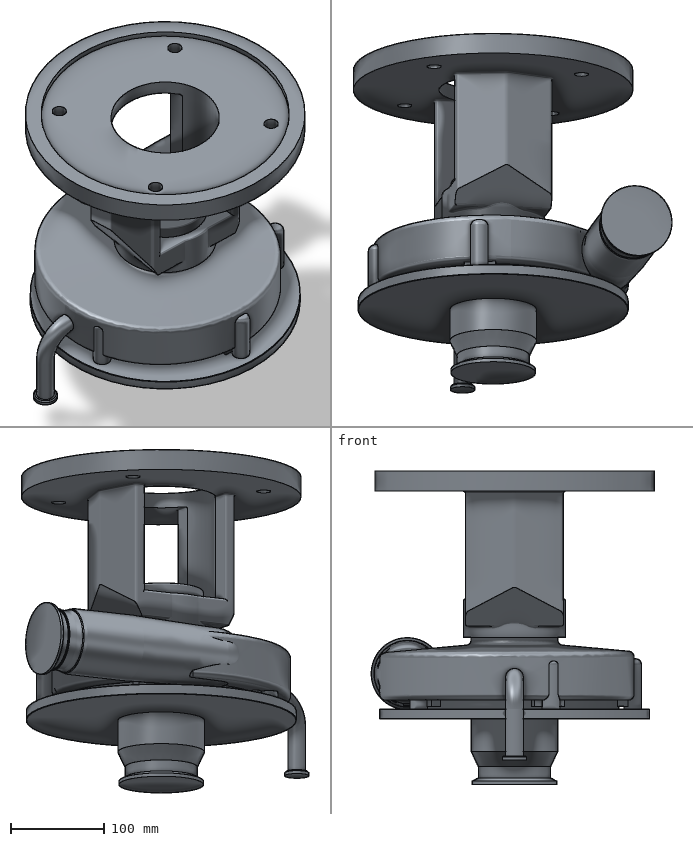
import cadquery as cq
import math


TOP_Z = 266.3

MOTOR_PLATE_RADIUS = 150.0
MOTOR_PLATE_THICKNESS = 21.8
SPIGOT_RADIUS = 133.0
SPIGOT_DEPTH = 6.0
MOTOR_BOLT_DIAMETER = 15.0
MOTOR_BOLT_PITCH = 161.3
YOKE_BORE_RADIUS = 58.0

YOKE_HALF_WIDTH = 52.6
YOKE_SHOULDER_Y = 60.9
YOKE_LEG_Y = 75.2
YOKE_RIDGE_Y = 75.5
YOKE_SLOPE_TOP_Z = 141.4
YOKE_SLOPE_RATIO = 0.53
YOKE_BOTTOM_Z = 99.7
YOKE_CORNER_RADIUS = 4.0
YOKE_RIDGE_RADIUS = 8.0
CASTING_FILLET = 3.0
YOKE_BOTTOM_FILLET = 2.6
PLATE_FILLET = 2.5
WINDOW_HALF_WIDTH = 49.5
WINDOW_FLOOR_Z = 129.3

HUB_RADIUS = 55.0
HUB_BOTTOM_Z = 87.6
SHAFT_CAP_RADIUS = 45.3
SHAFT_CAP_TOP_Z = 142.0
SHAFT_CAP_EDGE = 2.5
NECK_RADIUS = 46.7
NECK_FILLET = 5.0

VOLUTE_BOTTOM_Z = 20.3
VOLUTE_EDGE_FILLET = 6.5
SPIRAL_STEP = 8.0
SPIRAL_START_RADIUS = 116.5
SPIRAL_START_ANGLE = 135.0
SPIRAL_END_ANGLE = -195.0
COVER_INNER_Z = 79.9
COVER_SLOPE = 0.0915

BACK_PLATE_RADIUS = 145.0
BACK_PLATE_THICKNESS = 10.7
BACK_PLATE_CHAMFER = 0.5
SPACER_RADIUS = 112.0

STUD_COUNT = 5
STUD_CIRCLE_RADIUS = 127.0
STUD_RADIUS = 9.5
STUD_TOP_Z = 65.0
STUD_TOP_FILLET = 7.0
LUG_OUTER_RADIUS = 122.0
LUG_WIDTH = 34.0
LUG_BOTTOM_Z = 13.7

OUTLET_X = -114.95
OUTLET_Z = 48.7
OUTLET_THROAT_RADIUS = 32.0
OUTLET_TUBE_RADIUS = 35.5
OUTLET_TUBE_START_Y = 106.0
OUTLET_TUBE_END_Y = 180.0
OUTLET_TUBE_BEVEL_LENGTH = 4.0
OUTLET_TUBE_BEVEL_DEPTH = 0.9
OUTLET_NECK_RADIUS = 32.4
OUTLET_BEAD_RADIUS = 33.6
OUTLET_INNER_BEAD_START_Y = 181.0
OUTLET_INNER_BEAD_WIDTH = 2.0
OUTLET_NECK_START_Y = 187.0
OUTLET_OUTER_BEAD_START_Y = 197.0
OUTLET_OUTER_BEAD_WIDTH = 1.5
OUTLET_NECK_END_Y = 204.0
OUTLET_END_Y = 210.7
OUTLET_FLANGE_RADIUS = 38.75
OUTLET_FLANGE_RIM = 3.0
OUTLET_FLANGE_BEVEL_DEPTH = 3.0
OUTLET_FLANGE_BEVEL_LENGTH = 1.0

INLET_RADIUS = 46.5
INLET_TUBE_RADIUS = 38.8
INLET_FLANGE_RADIUS = 45.4
INLET_TAPER_START_Z = -34.7
INLET_TAPER_END_Z = -51.0
INLET_TUBE_END_Z = -63.0
INLET_FLANGE_RIM = 3.7
INLET_BOTTOM_Z = -70.2

DRAIN_RADIUS = 9.5
DRAIN_Y = -167.2
DRAIN_Z = 45.0
DRAIN_BEND_RADIUS = 34.5
DRAIN_EMBEDDED_LENGTH = 20.0
DRAIN_BOTTOM_Z = -44.0
DRAIN_FLANGE_RADIUS = 13.0
DRAIN_FLANGE_THICKNESS = 4.7
DRAIN_FLANGE_CHAMFER = 1.5

SELECT_MARGIN = 0.1

MOTOR_PLATE_BOTTOM_Z = TOP_Z - MOTOR_PLATE_THICKNESS


def disc(radius, bottom_z, top_z):
    """Solid cylinder on the shaft axis."""
    return cq.Workplane("XY").workplane(offset=bottom_z).circle(radius).extrude(top_z - bottom_z)


def edge_box(x_range, y_range, z_range):
    """Selector for edges whose centres lie inside a box."""
    low = (x_range[0] - SELECT_MARGIN, y_range[0] - SELECT_MARGIN, z_range[0] - SELECT_MARGIN)
    high = (x_range[1] + SELECT_MARGIN, y_range[1] + SELECT_MARGIN, z_range[1] + SELECT_MARGIN)
    return cq.selectors.BoxSelector(low, high)


def make_yoke_block():
    """Hexagonal block with rounded corners and undersides that slope in to the hub."""
    outline = [
        (YOKE_HALF_WIDTH, YOKE_SHOULDER_Y),
        (0, YOKE_RIDGE_Y),
        (-YOKE_HALF_WIDTH, YOKE_SHOULDER_Y),
        (-YOKE_HALF_WIDTH, -YOKE_SHOULDER_Y),
        (0, -YOKE_RIDGE_Y),
        (YOKE_HALF_WIDTH, -YOKE_SHOULDER_Y),
    ]
    height = MOTOR_PLATE_BOTTOM_Z - YOKE_BOTTOM_Z
    block = cq.Workplane("XY").workplane(offset=YOKE_BOTTOM_Z).polyline(outline).close().extrude(height)
    block = block.edges("|Z").edges(">Y or <Y").fillet(YOKE_RIDGE_RADIUS)
    block = block.edges("|Z").edges(">X or <X").fillet(YOKE_CORNER_RADIUS)

    foot_y = YOKE_LEG_Y - YOKE_SLOPE_RATIO * (YOKE_SLOPE_TOP_Z - YOKE_BOTTOM_Z)
    ramp_top_z = YOKE_SLOPE_TOP_Z + (YOKE_RIDGE_Y - YOKE_LEG_Y) / YOKE_SLOPE_RATIO
    side = [
        (foot_y, YOKE_BOTTOM_Z),
        (YOKE_RIDGE_Y, ramp_top_z),
        (YOKE_RIDGE_Y, MOTOR_PLATE_BOTTOM_Z),
        (-YOKE_RIDGE_Y, MOTOR_PLATE_BOTTOM_Z),
        (-YOKE_RIDGE_Y, ramp_top_z),
        (-foot_y, YOKE_BOTTOM_Z),
    ]
    envelope = cq.Workplane("YZ").polyline(side).close().extrude(YOKE_HALF_WIDTH, both=True)
    return block.intersect(envelope).faces("<Z").edges().fillet(YOKE_BOTTOM_FILLET)


def make_yoke():
    """Two legs on a round hub, with an open window between them along X."""
    yoke = make_yoke_block().union(disc(HUB_RADIUS, HUB_BOTTOM_Z, WINDOW_FLOOR_Z))
    hub_range = (-HUB_RADIUS, HUB_RADIUS)
    underside = edge_box(hub_range, hub_range, (YOKE_BOTTOM_Z, YOKE_BOTTOM_Z))
    yoke = yoke.edges(underside).edges("%CIRCLE").fillet(CASTING_FILLET)

    window_height = MOTOR_PLATE_BOTTOM_Z - WINDOW_FLOOR_Z
    window = (
        cq.Workplane("XY").workplane(offset=WINDOW_FLOOR_Z)
        .rect(2 * HUB_RADIUS, 2 * WINDOW_HALF_WIDTH).extrude(window_height)
    )
    yoke = yoke.cut(window)
    yoke = yoke.cut(disc(YOKE_BORE_RADIUS, WINDOW_FLOOR_Z, MOTOR_PLATE_BOTTOM_Z))

    window_y = (-WINDOW_HALF_WIDTH, WINDOW_HALF_WIDTH)
    window_z = (WINDOW_FLOOR_Z, MOTOR_PLATE_BOTTOM_Z)
    for x_range in ((-HUB_RADIUS, -YOKE_HALF_WIDTH), (YOKE_HALF_WIDTH, HUB_RADIUS)):
        yoke = yoke.edges(edge_box(x_range, window_y, window_z)).fillet(CASTING_FILLET)
    return yoke


def make_motor_plate():
    """Round plate with a locating recess, a central bore and four bolt holes."""
    plate = disc(MOTOR_PLATE_RADIUS, MOTOR_PLATE_BOTTOM_Z, TOP_Z)
    plate = plate.cut(disc(SPIGOT_RADIUS, TOP_Z - SPIGOT_DEPTH, TOP_Z))
    plate = plate.cut(disc(YOKE_BORE_RADIUS, MOTOR_PLATE_BOTTOM_Z, TOP_Z))
    bolts = (
        cq.Workplane("XY").workplane(offset=MOTOR_PLATE_BOTTOM_Z)
        .rect(MOTOR_BOLT_PITCH, MOTOR_BOLT_PITCH, forConstruction=True)
        .vertices().circle(MOTOR_BOLT_DIAMETER / 2).extrude(MOTOR_PLATE_THICKNESS)
    )
    return plate.cut(bolts)


def make_adapter():
    """Motor plate and yoke joined, with fillets where the legs meet the plate."""
    adapter = make_motor_plate().union(make_yoke())
    leg_x = (-YOKE_HALF_WIDTH, YOKE_HALF_WIDTH)
    joint_z = (MOTOR_PLATE_BOTTOM_Z, MOTOR_PLATE_BOTTOM_Z)
    for y_range in ((-YOKE_RIDGE_Y, -WINDOW_HALF_WIDTH), (WINDOW_HALF_WIDTH, YOKE_RIDGE_Y)):
        adapter = adapter.edges(edge_box(leg_x, y_range, joint_z)).fillet(PLATE_FILLET)
    return adapter


def spiral_point(arc_index, angle):
    """Point on the four-centre spiral; arc 0 is the smallest, each next one a step larger."""
    half = SPIRAL_STEP / 2
    centre_x, centre_y = [(half, half), (half, -half), (-half, -half), (-half, half)][arc_index]
    radius = SPIRAL_START_RADIUS + arc_index * SPIRAL_STEP
    turn = math.radians(angle)
    return (centre_x + radius * math.cos(turn), centre_y + radius * math.sin(turn))


def make_volute():
    """Spiral casing with a shallow conical cover; radius grows clockwise towards the outlet."""
    arc_limits = [SPIRAL_START_ANGLE, 90, 0, -90, SPIRAL_END_ANGLE]
    outline = cq.Workplane("XY").workplane(offset=VOLUTE_BOTTOM_Z)
    outline = outline.moveTo(*spiral_point(0, SPIRAL_START_ANGLE))
    for index, (start, end) in enumerate(zip(arc_limits, arc_limits[1:])):
        outline = outline.threePointArc(spiral_point(index, (start + end) / 2), spiral_point(index, end))
    casing = outline.close().extrude(HUB_BOTTOM_Z - VOLUTE_BOTTOM_Z)
    reach = BACK_PLATE_RADIUS + SPIRAL_STEP
    cover_edge_z = COVER_INNER_Z - COVER_SLOPE * (reach - NECK_RADIUS)
    cover = (
        cq.Workplane("XZ").moveTo(0, 0).lineTo(reach, 0).lineTo(reach, cover_edge_z)
        .lineTo(NECK_RADIUS, COVER_INNER_Z).lineTo(NECK_RADIUS, HUB_BOTTOM_Z).lineTo(0, HUB_BOTTOM_Z)
        .close().revolve(360, (0, 0, 0), (0, 1, 0))
    )
    casing = casing.intersect(cover)
    neck_range = (-NECK_RADIUS, NECK_RADIUS)
    neck_root = edge_box(neck_range, neck_range, (COVER_INNER_Z, COVER_INNER_Z))
    casing = casing.edges(neck_root).fillet(NECK_FILLET)
    casing = casing.faces("<Z").edges().fillet(VOLUTE_EDGE_FILLET)
    reach_range = (-reach, reach)
    rim = edge_box(reach_range, reach_range, (cover_edge_z, COVER_INNER_Z - NECK_FILLET / 2))
    return casing.edges(rim).edges("not |Z").fillet(VOLUTE_EDGE_FILLET)


def make_back_plate():
    """Round back plate with a spacer disc that carries the volute."""
    plate = disc(BACK_PLATE_RADIUS, 0, BACK_PLATE_THICKNESS).edges().chamfer(BACK_PLATE_CHAMFER)
    return plate.union(disc(SPACER_RADIUS, BACK_PLATE_THICKNESS, VOLUTE_BOTTOM_Z))


def make_studs():
    """Clamping studs around the rim, each with a flat lug on the spacer."""
    stud = (
        disc(STUD_RADIUS, BACK_PLATE_THICKNESS, STUD_TOP_Z)
        .faces(">Z").edges().fillet(STUD_TOP_FILLET)
        .translate((STUD_CIRCLE_RADIUS, 0, 0))
    )
    lug_inner_radius = SPACER_RADIUS / 2
    lug = cq.Workplane("XY").box(
        LUG_OUTER_RADIUS - lug_inner_radius,
        LUG_WIDTH,
        VOLUTE_BOTTOM_Z - LUG_BOTTOM_Z,
        centered=(False, True, False),
    )
    station = stud.union(lug.translate((lug_inner_radius, 0, LUG_BOTTOM_Z)))
    studs = station
    for index in range(1, STUD_COUNT):
        studs = studs.union(station.rotate((0, 0, 0), (0, 0, 1), 360 / STUD_COUNT * index))
    return studs


def make_outlet():
    """Tangential outlet along +Y with a clamp flange and a spherical inner end."""
    diagonal = OUTLET_THROAT_RADIUS * math.sqrt(0.5)
    inner_bead_end_y = OUTLET_INNER_BEAD_START_Y + OUTLET_INNER_BEAD_WIDTH
    outer_bead_end_y = OUTLET_OUTER_BEAD_START_Y + OUTLET_OUTER_BEAD_WIDTH
    rim_y = OUTLET_END_Y - OUTLET_FLANGE_RIM
    profile = (
        cq.Workplane("XY").moveTo(0, -OUTLET_THROAT_RADIUS)
        .threePointArc((diagonal, -diagonal), (OUTLET_THROAT_RADIUS, 0))
        .lineTo(OUTLET_TUBE_RADIUS, OUTLET_TUBE_START_Y)
        .lineTo(OUTLET_TUBE_RADIUS, OUTLET_TUBE_END_Y - OUTLET_TUBE_BEVEL_LENGTH)
        .lineTo(OUTLET_TUBE_RADIUS - OUTLET_TUBE_BEVEL_DEPTH, OUTLET_TUBE_END_Y)
        .lineTo(OUTLET_BEAD_RADIUS, OUTLET_INNER_BEAD_START_Y)
        .lineTo(OUTLET_BEAD_RADIUS, inner_bead_end_y)
        .lineTo(OUTLET_NECK_RADIUS, OUTLET_NECK_START_Y)
        .lineTo(OUTLET_NECK_RADIUS, OUTLET_OUTER_BEAD_START_Y)
        .lineTo(OUTLET_BEAD_RADIUS, OUTLET_OUTER_BEAD_START_Y)
        .lineTo(OUTLET_BEAD_RADIUS, outer_bead_end_y)
        .lineTo(OUTLET_NECK_RADIUS, outer_bead_end_y)
        .lineTo(OUTLET_NECK_RADIUS, OUTLET_NECK_END_Y)
        .lineTo(OUTLET_FLANGE_RADIUS - OUTLET_FLANGE_BEVEL_DEPTH, rim_y - OUTLET_FLANGE_BEVEL_LENGTH)
        .lineTo(OUTLET_FLANGE_RADIUS, rim_y)
        .lineTo(OUTLET_FLANGE_RADIUS, OUTLET_END_Y)
        .lineTo(0, OUTLET_END_Y)
        .close()
    )
    outlet = profile.revolve(360, (0, 0, 0), (0, 1, 0))
    return outlet.translate((OUTLET_X, 0, OUTLET_Z))


def make_inlet():
    """Axial inlet below the back plate, tapering to a clamp flange."""
    profile = (
        cq.Workplane("XZ")
        .lineTo(INLET_RADIUS, 0)
        .lineTo(INLET_RADIUS, INLET_TAPER_START_Z)
        .lineTo(INLET_TUBE_RADIUS, INLET_TAPER_END_Z)
        .lineTo(INLET_TUBE_RADIUS, INLET_TUBE_END_Z)
        .lineTo(INLET_FLANGE_RADIUS, INLET_BOTTOM_Z + INLET_FLANGE_RIM)
        .lineTo(INLET_FLANGE_RADIUS, INLET_BOTTOM_Z)
        .lineTo(0, INLET_BOTTOM_Z)
        .close()
    )
    return profile.revolve(360, (0, 0, 0), (0, 1, 0))


def make_drain():
    """Drain pipe leaving the volute along -Y and bending down to a small flange."""
    bend_end_z = DRAIN_Z - DRAIN_BEND_RADIUS
    bend_start_y = DRAIN_Y + DRAIN_BEND_RADIUS
    pipe_start_y = bend_start_y + DRAIN_EMBEDDED_LENGTH
    diagonal = DRAIN_BEND_RADIUS * math.sqrt(0.5)
    path = (
        cq.Workplane("YZ").moveTo(pipe_start_y, DRAIN_Z).lineTo(bend_start_y, DRAIN_Z)
        .threePointArc((bend_start_y - diagonal, bend_end_z + diagonal), (DRAIN_Y, bend_end_z))
        .lineTo(DRAIN_Y, DRAIN_BOTTOM_Z)
    )
    pipe = cq.Workplane("XZ", origin=(0, pipe_start_y, DRAIN_Z)).circle(DRAIN_RADIUS).sweep(path)
    flange = disc(DRAIN_FLANGE_RADIUS, DRAIN_BOTTOM_Z, DRAIN_BOTTOM_Z + DRAIN_FLANGE_THICKNESS)
    flange = flange.faces(">Z").edges().chamfer(DRAIN_FLANGE_CHAMFER)
    return pipe.union(flange.translate((0, DRAIN_Y, 0)))


def make_shaft_cap():
    """Round cap standing on the hub between the legs."""
    cap = disc(SHAFT_CAP_RADIUS, HUB_BOTTOM_Z, SHAFT_CAP_TOP_Z)
    return cap.faces(">Z").edges().fillet(SHAFT_CAP_EDGE)


result = make_adapter()
for piece in (
    make_shaft_cap(),
    make_volute(),
    make_back_plate(),
    make_studs(),
    make_outlet(),
    make_inlet(),
    make_drain(),
):
    result = result.union(piece)